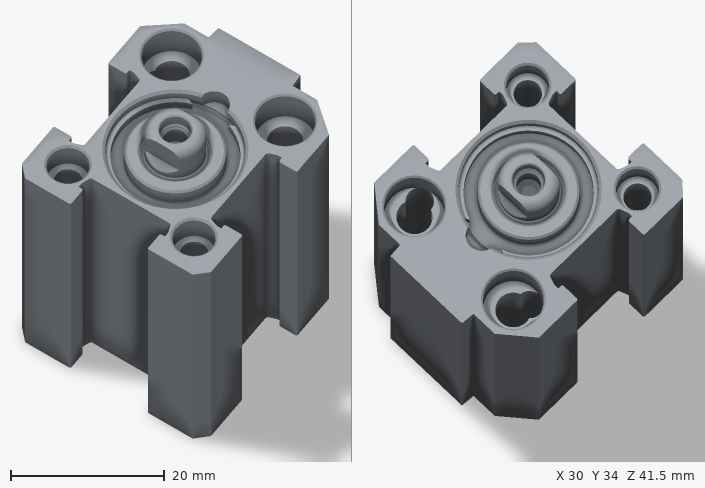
import cadquery as cq
import math


total_height = 41.5
rod_projection = 4.5
housing_top = total_height - rod_projection
half_width = 15.002
back_face_y = 18.985

shoulder_y = 17.0
block_half_width_back = 6.5
block_half_width_shoulder = 6.7
back_chamfer_x = 10.55
back_chamfer_y = 13.35
front_chamfer = 1.7

slot_half_mouth = 6.1
slot_half_width = 6.85
slot_half_floor = 6.35
slot_floor = 10.05
slot_lip_depth = 2.9
slot_wall_depth = 3.55
lip_round = 0.25
slot_floor_round = 0.4

front_hole_offset = 10.0
bolt_diameter = 3.7
front_counterbore_diameter = 5.6
front_counterbore_depth = 3.7
front_counterbore_chamfer = 0.3
back_hole_x = 9.0
back_hole_y = 12.0
back_hole_diameter = 4.7
back_counterbore_diameter = 7.9
back_counterbore_depth = 4.75
back_counterbore_chamfer = 0.25

cover_diameter = 17.9
mouth_diameter = 18.25
mouth_chamfer = 0.37
groove_diameter = 19.0
cover_lead_in = (groove_diameter - cover_diameter) / 2
groove_depth = 1.4
ring_thickness = 1.25
notch_diameter = 4.15
notch_y = 8.7
notch_depth = 2.45
groove_floor_z = housing_top - groove_depth - ring_thickness

ring_inner_diameter = 16.95
ring_gap_half_width = 3.0
ring_gap_y = 8.0
ring_end_slope = math.tan(math.radians(23))

flange_top_z = groove_floor_z - 0.15
cover_length = 8.3
cover_bottom_z = flange_top_z - cover_length
boss_diameter = 13.2
boss_top_z = housing_top - 0.35
boss_chamfer = 0.3
boss_base_round = 0.395
seal_diameter = 9.2
seal_seat_chamfer = 0.3
seal_seat_depth = 2.5
seal_seat_z = boss_top_z - seal_seat_depth

seal_lip_diameter = 8.42
seal_cone_diameter = 8.9
seal_lip_height = 0.25
seal_shoulder_z = boss_top_z - 0.65

rod_diameter = 8.0
rod_top_round = 1.25
flats_width = 5.98
flats_length = 3.53
thread_diameter = 4.25
thread_depth = 1.7
thread_chamfer = 0.15
thread_step_diameter = 3.7
thread_step_height = 0.12
drill_diameter = 3.25
drill_depth = 5.0
drill_tip_diameter = 1.7
drill_tip_slope = math.radians(31)


def disc(diameter, bottom_z, top_z, x=0.0, y=0.0):
    """A vertical cylinder between two heights."""
    return cq.Workplane("XY", origin=(x, y, bottom_z)).circle(diameter / 2).extrude(top_z - bottom_z)


def mouth_cone(diameter, chamfer, top_z, x=0.0, y=0.0):
    """A 45-degree cone that chamfers a hole whose rim lies at top_z."""
    cone = cq.Solid.makeCone(
        diameter / 2, diameter / 2 + chamfer, chamfer, pnt=cq.Vector(x, y, top_z - chamfer)
    )
    return cq.Workplane(obj=cone)


def mirrored(half_points):
    """Add the reflection in X = 0 to a chain of points, giving a closed symmetric outline."""
    return half_points + [(-x, y) for x, y in reversed(half_points)]


def cut_front_slot(block):
    """Cut a slot into the -Y face from bottom to top and round its lips and floor corners."""
    lip_y = -half_width + slot_lip_depth
    half = [
        (slot_half_mouth, -half_width),
        (slot_half_mouth, lip_y),
        (slot_half_width, lip_y),
        (slot_half_width, -half_width + slot_wall_depth),
        (slot_half_floor, -slot_floor),
    ]
    block = block.cut(cq.Workplane("XY").polyline(mirrored(half)).close().extrude(housing_top))
    rounds = [
        (slot_half_mouth, -half_width, lip_round),
        (slot_half_mouth, lip_y, lip_round),
        (slot_half_floor, -slot_floor, slot_floor_round),
    ]
    for x, y, radius in rounds:
        for side in (-1, 1):
            corner = cq.selectors.NearestToPointSelector((side * x, y, housing_top / 2))
            block = block.edges("|Z").edges(corner).fillet(radius)
    return block


def make_housing_block():
    half = [
        (half_width - front_chamfer, -half_width),
        (half_width, -half_width + front_chamfer),
        (half_width, back_chamfer_y),
        (back_chamfer_x, shoulder_y),
        (block_half_width_shoulder, shoulder_y),
        (block_half_width_back, back_face_y),
    ]
    block = cq.Workplane("XY").polyline(mirrored(half)).close().extrude(housing_top)
    axis = ((0, 0, 0), (0, 0, 1))
    for angle in (0, 90, -90):
        block = cut_front_slot(block.rotate(*axis, angle)).rotate(*axis, -angle)
    return block


def cut_mounting_holes(housing):
    for side in (-1, 1):
        front_x = side * front_hole_offset
        back_x = side * back_hole_x
        back_floor_z = housing_top - back_counterbore_depth
        front_floor_z = housing_top - front_counterbore_depth
        cutters = [
            disc(bolt_diameter, 0, housing_top, front_x, -front_hole_offset),
            disc(front_counterbore_diameter, front_floor_z, housing_top, front_x, -front_hole_offset),
            mouth_cone(
                front_counterbore_diameter, front_counterbore_chamfer, housing_top, front_x, -front_hole_offset
            ),
            disc(bolt_diameter, 0, back_floor_z, front_x, front_hole_offset),
            disc(back_hole_diameter, 0, housing_top, back_x, back_hole_y),
            disc(back_counterbore_diameter, back_floor_z, housing_top, back_x, back_hole_y),
            mouth_cone(back_counterbore_diameter, back_counterbore_chamfer, housing_top, back_x, back_hole_y),
        ]
        for cutter in cutters:
            housing = housing.cut(cutter)
    return housing


def cut_cover_bore(housing):
    housing = housing.cut(disc(cover_diameter, cover_bottom_z, groove_floor_z))
    housing = housing.cut(disc(mouth_diameter, groove_floor_z, housing_top))
    housing = housing.cut(mouth_cone(mouth_diameter, mouth_chamfer, housing_top))
    housing = housing.cut(disc(groove_diameter, groove_floor_z, housing_top - groove_depth))
    housing = housing.cut(mouth_cone(cover_diameter, cover_lead_in, groove_floor_z))
    return housing.cut(disc(notch_diameter, housing_top - notch_depth, housing_top, y=notch_y))


def make_housing():
    return cut_cover_bore(cut_mounting_holes(make_housing_block()))


def make_retaining_ring():
    """A flat C-ring that fills the groove, with its gap at the notch."""
    ring_top_z = housing_top - groove_depth
    ring = disc(groove_diameter, groove_floor_z, ring_top_z)
    ring = ring.cut(disc(ring_inner_diameter, groove_floor_z, ring_top_z))
    reach = 3 * ring_gap_half_width
    apex_y = ring_gap_y - ring_gap_half_width * ring_end_slope
    reach_y = apex_y + reach * ring_end_slope
    gap = (
        cq.Workplane("XY", origin=(0, 0, groove_floor_z))
        .polyline([(0, apex_y), (reach, reach_y), (-reach, reach_y)])
        .close()
        .extrude(ring_thickness)
    )
    return ring.cut(gap)


def make_cover():
    """A flanged bush with a raised boss, a seal seat and a hole for the rod."""
    flange = disc(cover_diameter, cover_bottom_z, flange_top_z)
    boss = disc(boss_diameter, flange_top_z, boss_top_z).faces(">Z").edges().chamfer(boss_chamfer)
    cover = flange.union(boss)
    boss_base = cq.selectors.BoxSelector(
        (-boss_diameter, -boss_diameter, flange_top_z - 0.05), (boss_diameter, boss_diameter, flange_top_z + 0.05)
    )
    cover = cover.edges(boss_base).edges(cq.selectors.RadiusNthSelector(0)).fillet(boss_base_round)
    cover = cover.cut(disc(rod_diameter, cover_bottom_z, boss_top_z))
    cover = cover.cut(disc(seal_diameter, seal_seat_z, boss_top_z))
    return cover.cut(mouth_cone(seal_diameter, seal_seat_chamfer, boss_top_z))


def make_seal():
    """A ring around the rod whose top slopes up to a narrow lip."""
    profile = [
        (rod_diameter / 2, seal_seat_z),
        (seal_diameter / 2, seal_seat_z),
        (seal_diameter / 2, seal_shoulder_z),
        (seal_cone_diameter / 2, seal_shoulder_z),
        (seal_lip_diameter / 2, seal_shoulder_z + seal_lip_height),
        (rod_diameter / 2, seal_shoulder_z + seal_lip_height),
    ]
    return cq.Workplane("XZ").polyline(profile).close().revolve(360, (0, 0), (0, 1))


def make_rod_hole():
    """The stepped, cone-bottomed hole in the rod end, as a turned cutter."""
    step_z = total_height - thread_depth
    step_cone_end_z = step_z - (thread_diameter - thread_step_diameter) / 2
    drill_cone_z = step_cone_end_z - thread_step_height
    drill_start_z = drill_cone_z - (thread_step_diameter - drill_diameter) / 2
    drill_end_z = total_height - drill_depth
    tip_z = drill_end_z - (drill_diameter - drill_tip_diameter) / 2 * math.tan(drill_tip_slope)
    profile = [
        (0, total_height),
        (thread_diameter / 2 + thread_chamfer, total_height),
        (thread_diameter / 2, total_height - thread_chamfer),
        (thread_diameter / 2, step_z),
        (thread_step_diameter / 2, step_cone_end_z),
        (thread_step_diameter / 2, drill_cone_z),
        (drill_diameter / 2, drill_start_z),
        (drill_diameter / 2, drill_end_z),
        (drill_tip_diameter / 2, tip_z),
        (0, tip_z),
    ]
    return cq.Workplane("XZ").polyline(profile).close().revolve(360, (0, 0), (0, 1))


def make_flat_cutter():
    """The two wrench flats, each running out to the rod surface at 45 degrees."""
    flat_y = flats_width / 2
    rod_radius = rod_diameter / 2
    flat_end_z = total_height - flats_length
    profile = [
        (flat_y, total_height),
        (flat_y, flat_end_z),
        (rod_radius, flat_end_z - (rod_radius - flat_y)),
        (rod_radius, total_height),
    ]
    back = cq.Workplane("YZ").polyline(profile).close().extrude(rod_radius, both=True)
    return back.union(back.mirror("XZ"))


def make_rod():
    rod = disc(rod_diameter, cover_bottom_z, total_height).faces(">Z").edges().fillet(rod_top_round)
    return rod.cut(make_flat_cutter()).cut(make_rod_hole())


housing = make_housing()
retaining_ring = make_retaining_ring()
cover = make_cover()
seal = make_seal()
rod = make_rod()

result = cq.Compound.makeCompound([housing.val(), retaining_ring.val(), cover.val(), seal.val(), rod.val()])